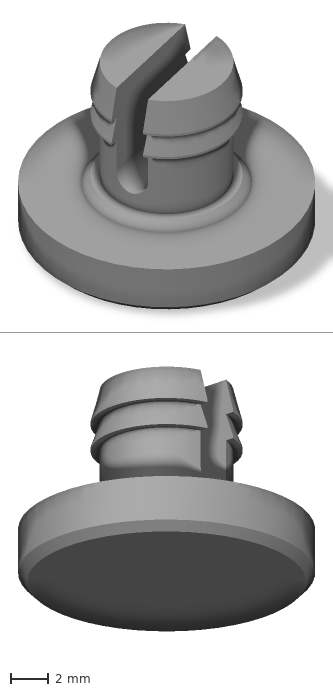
import cadquery as cq

flange_radius = 8.0
flange_top = 3.0
edge_chamfer = 0.5
collar_top = flange_top + edge_chamfer

shaft_radius = 3.6
barb_radius = shaft_radius + edge_chamfer
collar_radius = barb_radius + edge_chamfer
lower_barb_bottom = 7.5
upper_barb_bottom = 9.0
total_height = 11.0
barb_rim = 0.15

slot_width = 2.0
slot_bottom = 4.5


def barb_points(bottom, top):
    """Half profile of one barb, from its underside to its narrow upper end."""
    return [
        (shaft_radius, bottom),
        (barb_radius, bottom),
        (barb_radius, bottom + barb_rim),
        (shaft_radius, top),
    ]


def make_body():
    """Flange, collar, shaft and barbs revolved about Z."""
    profile = [
        (0, 0),
        (flange_radius - edge_chamfer, 0),
        (flange_radius, edge_chamfer),
        (flange_radius, flange_top),
        (collar_radius, flange_top),
        (barb_radius, collar_top),
        (shaft_radius, collar_top),
        *barb_points(lower_barb_bottom, upper_barb_bottom),
        *barb_points(upper_barb_bottom, total_height)[1:],
        (0, total_height),
    ]
    return cq.Workplane("XZ").polyline(profile).close().revolve(360, (0, 0), (0, 1))


def make_slot():
    """Slot through the shaft along Y, open at the top."""
    half_width = slot_width / 2
    arc_center = slot_bottom + half_width
    return (
        cq.Workplane("XZ")
        .moveTo(-half_width, total_height)
        .lineTo(-half_width, arc_center)
        .threePointArc((0, slot_bottom), (half_width, arc_center))
        .lineTo(half_width, total_height)
        .close()
        .extrude(flange_radius, both=True)
    )


result = make_body().cut(make_slot())